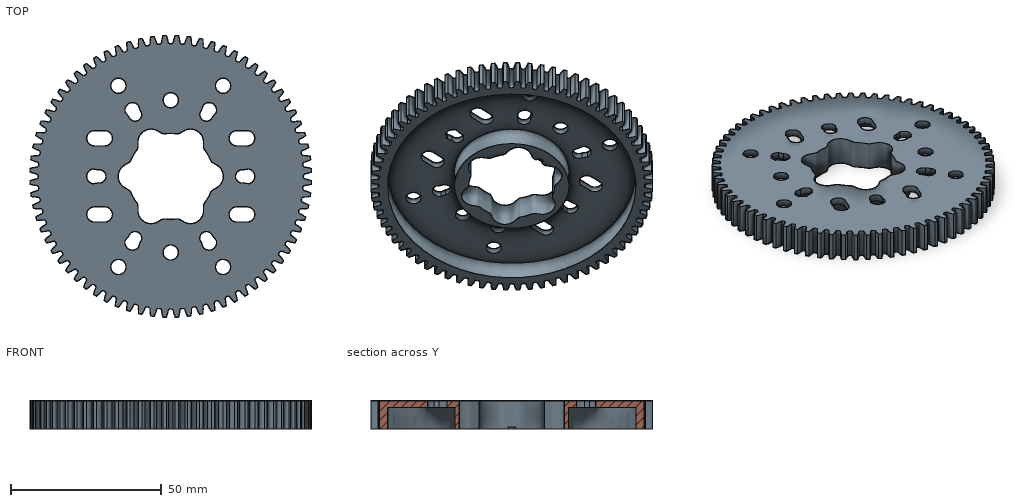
import cadquery as cq
import math

overall_size = 93.9
thickness = 9.5
tooth_count = 72
pressure_angle = math.radians(14.5)
dedendum_in_modules = 1.2
root_blend_in_modules = 0.3
backlash_in_modules = 0.06
flank_spans = 4

bore_radius = 14.3
lobe_count = 6
lobe_radius = 4.3
lobe_offset = 13.15
lobe_flank_angle = math.radians(30)
bore_fillet = 2.1

hub_radius = 19.1
pocket_radius = 41.3
web_thickness = 2.35

mark_diameter = 2.5
mark_depth = 0.75

hole_diameter = 5.0
bolt_circle_radius = 25.4
outer_bolt_circle_radius = 34.85
outer_hole_angles = (60, 120, 240, 300)
slot_outer_x = 25.5
tapered_slot_count = 6
tapered_slot_inner_radius = 23.8
tapered_slot_inner_diameter = 4.3


def polar(radius, angle):
    """Point at a polar position, with the angle in radians."""
    return radius * math.cos(angle), radius * math.sin(angle)


def around(shape, count):
    """Copies of a workplane's solid, evenly spaced around the Z axis."""
    solid = shape.val()
    return [solid.rotate((0, 0, 0), (0, 0, 1), i * 360 / count) for i in range(count)]


def involute(angle):
    return math.tan(angle) - angle


def half_space(radius_ratio):
    """Half angle of a tooth space at a multiple of the pitch radius, constant below the base circle."""
    local_angle = math.acos(min(1.0, math.cos(pressure_angle) / radius_ratio))
    pitch_half_space = (math.pi / 2 + backlash_in_modules) / tooth_count
    return pitch_half_space - involute(pressure_angle) + involute(local_angle)


tip_ratio = 1 + 2 / tooth_count
root_ratio = 1 - 2 * dedendum_in_modules / tooth_count
blend_ratio = root_ratio + 2 * root_blend_in_modules / tooth_count

tip_radius = overall_size / 2 / math.cos(half_space(tip_ratio))
pitch_radius = tip_radius / tip_ratio


def tooth_space():
    """Cutter for the tooth space on the +X axis, with involute flanks and a rounded root."""
    cutter_ratio = tip_ratio + 1 / tooth_count
    span = (cutter_ratio - blend_ratio) / flank_spans
    ratios = [blend_ratio + span * i for i in range(flank_spans + 1)]
    upper = [polar(pitch_radius * ratio, half_space(ratio)) for ratio in ratios]
    lower = [(x, -y) for x, y in reversed(upper)]
    return (
        cq.Workplane("XY")
        .moveTo(*lower[-1])
        .threePointArc((pitch_radius * root_ratio, 0), upper[0])
        .spline(upper[1:], includeCurrent=True)
        .lineTo(*lower[0])
        .spline(lower[1:], includeCurrent=True)
        .close()
        .extrude(thickness)
    )


def gear_blank():
    disc = cq.Workplane("XY").circle(tip_radius).extrude(thickness).val()
    return cq.Workplane(disc.cut(*around(tooth_space(), tooth_count)))


def underside_pocket():
    """Ring-shaped cutter between the hub and the rim, stopping below the web."""
    return cq.Workplane("XY").circle(pocket_radius).circle(hub_radius).extrude(thickness - web_thickness)


def lobed_bore():
    """Cutter for the round bore and its lobes, with filleted corners between them."""
    reach_x, tangent_y = polar(lobe_radius, math.pi / 2 - lobe_flank_angle)
    tangent_x = lobe_offset + reach_x
    inner_x = bore_radius * math.cos(math.pi / lobe_count)
    inner_y = tangent_y + (tangent_x - inner_x) * math.tan(lobe_flank_angle)
    lobe = (
        cq.Workplane("XY")
        .moveTo(tangent_x, -tangent_y)
        .threePointArc((lobe_offset + lobe_radius, 0), (tangent_x, tangent_y))
        .lineTo(inner_x, inner_y)
        .lineTo(0, 0)
        .lineTo(inner_x, -inner_y)
        .close()
        .extrude(thickness)
    )
    core = cq.Workplane("XY").circle(bore_radius).extrude(thickness).val()
    bore = cq.Workplane(core.fuse(*around(lobe, lobe_count)).clean())

    def on_bore_circle(edge):
        center = edge.Center()
        return math.isclose(math.hypot(center.x, center.y), bore_radius, rel_tol=1e-4)

    return bore.edges("|Z").filter(on_bore_circle).fillet(bore_fillet)


def alignment_mark():
    return cq.Workplane("XY").center(0, bore_radius).circle(mark_diameter / 2).extrude(mark_depth)


def round_holes():
    """Cutters for the outer bolt holes and the two inner holes on the Y axis."""
    points = [polar(outer_bolt_circle_radius, math.radians(angle)) for angle in outer_hole_angles]
    points += [(0, bolt_circle_radius), (0, -bolt_circle_radius)]
    return cq.Workplane("XY").pushPoints(points).circle(hole_diameter / 2).extrude(thickness)


def straight_slots():
    """Cutters for four slots along X, each starting at a bolt circle position 30 degrees off the X axis."""
    inner_x, slot_y = polar(bolt_circle_radius, math.radians(30))
    length = slot_outer_x - inner_x + hole_diameter
    slots = cq.Workplane("XY").rarray(inner_x + slot_outer_x, 2 * slot_y, 2, 2)
    return slots.slot2D(length, hole_diameter).extrude(thickness)


def tapered_slot():
    """Cutter on the +X axis: two circles of different size joined by their outer tangents."""
    outer_radius = hole_diameter / 2
    inner_radius = tapered_slot_inner_diameter / 2
    spacing = slot_outer_x - tapered_slot_inner_radius
    tangent_angle = math.acos((outer_radius - inner_radius) / spacing)
    outer_dx, outer_y = polar(outer_radius, tangent_angle)
    inner_dx, inner_y = polar(inner_radius, tangent_angle)
    outer_x = slot_outer_x + outer_dx
    inner_x = tapered_slot_inner_radius + inner_dx
    return (
        cq.Workplane("XY")
        .moveTo(outer_x, -outer_y)
        .threePointArc((slot_outer_x + outer_radius, 0), (outer_x, outer_y))
        .lineTo(inner_x, inner_y)
        .threePointArc((tapered_slot_inner_radius - inner_radius, 0), (inner_x, -inner_y))
        .close()
        .extrude(thickness)
    )


result = (
    gear_blank()
    .cut(underside_pocket())
    .cut(lobed_bore())
    .cut(alignment_mark())
    .cut(round_holes())
    .cut(straight_slots())
)
for slot in around(tapered_slot(), tapered_slot_count):
    result = result.cut(cq.Workplane(slot))